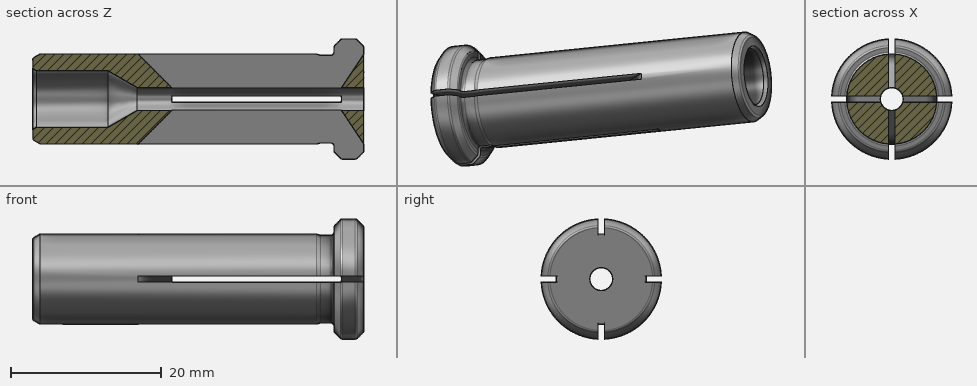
import math

import cadquery as cq

LENGTH = 44.0
BODY_DIAMETER = 12.0
HEAD_DIAMETER = 16.0
HEAD_LENGTH = 4.0

LEAD_IN_LENGTH = 1.0
LEAD_IN_ANGLE = 30.0
HEAD_CHAMFER = 1.0
EDGE_RADIUS = 0.4

RELIEF_LENGTH = 2.3
RELIEF_DEPTH = 0.15
RELIEF_RAMP_LENGTH = 0.5
RELIEF_FILLET = 0.4

BORE_DIAMETER = 7.5
BORE_DEPTH = 10.0
BORE_POINT_ANGLE = 60.0
BORE_CHAMFER_LENGTH = 0.5
BORE_CHAMFER_ANGLE = 30.0
THROUGH_DIAMETER = 3.0

SLOT_COUNT = 4
SLOT_WIDTH = 0.8
SLOT_START = 14.0

body_radius = BODY_DIAMETER / 2
head_radius = HEAD_DIAMETER / 2
head_start = LENGTH - HEAD_LENGTH

TOLERANCE = 1e-6


def make_body():
    """Revolved blank: body with lead-in chamfer, relief groove and chamfered head."""
    lead_in_radius = body_radius - LEAD_IN_LENGTH * math.tan(math.radians(LEAD_IN_ANGLE))
    relief_radius = body_radius - RELIEF_DEPTH
    relief_start = head_start - RELIEF_LENGTH
    relief_fillet_top = (head_start, relief_radius + RELIEF_FILLET)
    chamfer_radius = head_radius - HEAD_CHAMFER

    blank = (
        cq.Workplane("XY")
        .moveTo(0, 0)
        .lineTo(0, lead_in_radius)
        .lineTo(LEAD_IN_LENGTH, body_radius)
        .lineTo(relief_start, body_radius)
        .lineTo(relief_start + RELIEF_RAMP_LENGTH, relief_radius)
        .lineTo(head_start - RELIEF_FILLET, relief_radius)
        .radiusArc(relief_fillet_top, -RELIEF_FILLET)
        .lineTo(head_start, chamfer_radius)
        .lineTo(head_start + HEAD_CHAMFER, head_radius)
        .lineTo(LENGTH - HEAD_CHAMFER, head_radius)
        .lineTo(LENGTH, chamfer_radius)
        .lineTo(LENGTH, 0)
        .close()
        .revolve(360, (0, 0, 0), (1, 0, 0))
    )

    def is_sharp_corner(edge):
        x = edge.Center().x
        radius = edge.radius()
        on_lead_in = abs(x) < TOLERANCE and abs(radius - lead_in_radius) < TOLERANCE
        on_head = x >= head_start - TOLERANCE and radius >= chamfer_radius - TOLERANCE
        return on_lead_in or on_head

    corners = [edge for edge in blank.edges("%CIRCLE").vals() if is_sharp_corner(edge)]
    return blank.newObject(corners).fillet(EDGE_RADIUS)


def make_bore():
    """Revolved cutter: chamfered bore, conical bottom and through hole."""
    bore_radius = BORE_DIAMETER / 2
    mouth_radius = bore_radius + BORE_CHAMFER_LENGTH * math.tan(math.radians(BORE_CHAMFER_ANGLE))
    through_radius = THROUGH_DIAMETER / 2
    cone_length = (bore_radius - through_radius) / math.tan(math.radians(BORE_POINT_ANGLE / 2))

    return (
        cq.Workplane("XY")
        .moveTo(0, 0)
        .lineTo(0, mouth_radius)
        .lineTo(BORE_CHAMFER_LENGTH, bore_radius)
        .lineTo(BORE_DEPTH, bore_radius)
        .lineTo(BORE_DEPTH + cone_length, through_radius)
        .lineTo(LENGTH, through_radius)
        .lineTo(LENGTH, 0)
        .close()
        .revolve(360, (0, 0, 0), (1, 0, 0))
    )


def make_slot():
    """Cutter for one slot: a 45 degree run-in to the axis, then a floor rising through the head."""
    run_in_end = SLOT_START + body_radius
    run_in_top = SLOT_START - (head_radius - body_radius)

    return (
        cq.Workplane("XY")
        .moveTo(run_in_end, 0)
        .lineTo(head_start, 0)
        .lineTo(LENGTH, body_radius)
        .lineTo(LENGTH, head_radius)
        .lineTo(run_in_top, head_radius)
        .close()
        .extrude(SLOT_WIDTH / 2, both=True)
    )


result = make_body().cut(make_bore())
slot = make_slot()
for index in range(SLOT_COUNT):
    angle = index * 360 / SLOT_COUNT
    result = result.cut(slot.rotate((0, 0, 0), (1, 0, 0), angle))